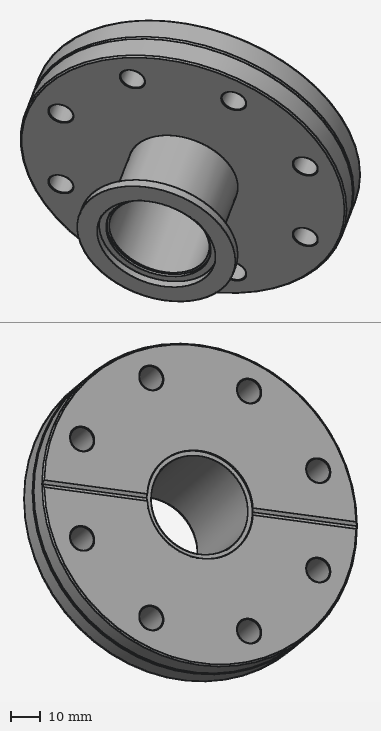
import cadquery as cq
import math

TOTAL_LENGTH = 49.5

FLANGE_DIAMETER = 113.5
FLANGE_THICKNESS = 17.4
RIM_CHAMFER = 0.6
RIM_GROOVE_WIDTH = 1.0
RIM_GROOVE_DEPTH = 0.28
RIM_GROOVE_OFFSET = FLANGE_THICKNESS / 2

BOLT_COUNT = 8
BOLT_CIRCLE_DIAMETER = 92.0
BOLT_HOLE_DIAMETER = 8.4
BOLT_HOLE_CHAMFER = 0.2

LEAK_GROOVE_WIDTH = 2.5
LEAK_GROOVE_DEPTH = 0.7

TUBE_OUTER_DIAMETER = 38.1
TUBE_BORE_DIAMETER = 34.8

CLAMP_DIAMETER = 55.0
CLAMP_RIM_WIDTH = 3.0
CLAMP_TAPER_LENGTH = 2.0
CLAMP_TAPER_ANGLE = 15.0
CLAMP_RECESS_DIAMETER = 41.2
CLAMP_RECESS_DEPTH = 2.6
CLAMP_BORE_DIAMETER = 36.4
CLAMP_LIP_LENGTH = 1.0

CLAMP_FACE_Y = -TOTAL_LENGTH
TUBE_FRONT_Y = CLAMP_FACE_Y + CLAMP_RECESS_DEPTH + CLAMP_LIP_LENGTH
TUBE_BACK_Y = -LEAK_GROOVE_DEPTH


def revolve_about_y(points):
    """Turn a closed (radius, Y) outline about the Y axis."""
    return cq.Workplane("XY").polyline(points).close().revolve(360, (0, 0, 0), (0, 1, 0))


def cylinder(diameter, start_y, end_y):
    """Make a cylinder along the Y axis between two Y positions."""
    base = cq.Workplane(cq.Plane((0, start_y, 0), xDir=(1, 0, 0), normal=(0, 1, 0)))
    return base.circle(diameter / 2).extrude(end_y - start_y)


def make_rim_groove():
    """Make the ring that cuts the round-bottomed groove around the middle of the flange rim."""
    rim_radius = FLANGE_DIAMETER / 2
    half_width = RIM_GROOVE_WIDTH / 2
    return (
        cq.Workplane("XY")
        .moveTo(rim_radius, -RIM_GROOVE_OFFSET - half_width)
        .threePointArc(
            (rim_radius - RIM_GROOVE_DEPTH, -RIM_GROOVE_OFFSET),
            (rim_radius, -RIM_GROOVE_OFFSET + half_width),
        )
        .close()
        .revolve(360, (0, 0, 0), (0, 1, 0))
    )


def make_leak_groove():
    """Make the prism that cuts the V-shaped groove along X through the sealing face."""
    return (
        cq.Workplane("YZ")
        .polyline([
            (0, -LEAK_GROOVE_WIDTH / 2),
            (0, LEAK_GROOVE_WIDTH / 2),
            (-LEAK_GROOVE_DEPTH, 0),
        ])
        .close()
        .extrude(FLANGE_DIAMETER / 2, both=True)
    )


def make_bolt_hole(angle):
    """Make the cutter for one bolt hole with a chamfer at both ends."""
    radius = BOLT_HOLE_DIAMETER / 2
    mouth_radius = radius + BOLT_HOLE_CHAMFER
    cutter = revolve_about_y([
        (0, 0),
        (mouth_radius, 0),
        (radius, -BOLT_HOLE_CHAMFER),
        (radius, BOLT_HOLE_CHAMFER - FLANGE_THICKNESS),
        (mouth_radius, -FLANGE_THICKNESS),
        (0, -FLANGE_THICKNESS),
    ])
    return cutter.translate((BOLT_CIRCLE_DIAMETER / 2, 0, 0)).rotate((0, 0, 0), (0, 1, 0), angle)


def make_bolted_flange():
    """Make the large flange, whose bore holds the tube."""
    flange = cylinder(FLANGE_DIAMETER, -FLANGE_THICKNESS, 0).edges().chamfer(RIM_CHAMFER)
    flange = flange.cut(make_rim_groove())
    flange = flange.cut(cylinder(TUBE_OUTER_DIAMETER, -FLANGE_THICKNESS, 0))
    flange = flange.cut(make_leak_groove())
    pitch = 360 / BOLT_COUNT
    for index in range(BOLT_COUNT):
        flange = flange.cut(make_bolt_hole((index + 0.5) * pitch))
    return flange


def make_tube():
    """Make the tube that joins the two flanges."""
    outside = cylinder(TUBE_OUTER_DIAMETER, TUBE_FRONT_Y, TUBE_BACK_Y)
    return outside.cut(cylinder(TUBE_BORE_DIAMETER, TUBE_FRONT_Y, TUBE_BACK_Y))


def make_clamp_flange():
    """Make the small tapered flange, with a recess in its face and a socket for the tube."""
    rim_radius = CLAMP_DIAMETER / 2
    rim_back_y = CLAMP_FACE_Y + CLAMP_RIM_WIDTH
    back_y = rim_back_y + CLAMP_TAPER_LENGTH
    back_radius = rim_radius - CLAMP_TAPER_LENGTH / math.tan(math.radians(CLAMP_TAPER_ANGLE))
    recess_floor_y = CLAMP_FACE_Y + CLAMP_RECESS_DEPTH
    return revolve_about_y([
        (CLAMP_RECESS_DIAMETER / 2, CLAMP_FACE_Y),
        (rim_radius, CLAMP_FACE_Y),
        (rim_radius, rim_back_y),
        (back_radius, back_y),
        (TUBE_OUTER_DIAMETER / 2, back_y),
        (TUBE_OUTER_DIAMETER / 2, TUBE_FRONT_Y),
        (CLAMP_BORE_DIAMETER / 2, TUBE_FRONT_Y),
        (CLAMP_BORE_DIAMETER / 2, recess_floor_y),
        (CLAMP_RECESS_DIAMETER / 2, recess_floor_y),
    ])


bolted_flange = make_bolted_flange()
tube = make_tube()
clamp_flange = make_clamp_flange()

result = cq.Compound.makeCompound([bolted_flange.val(), tube.val(), clamp_flange.val()])